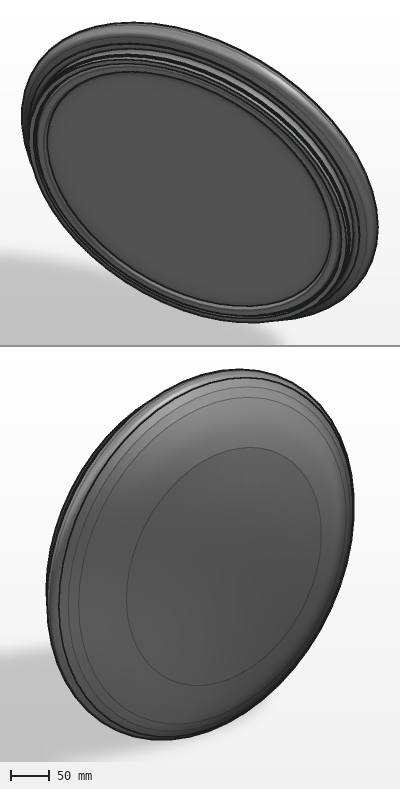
import cadquery as cq
import math


lamp_radius = 250.0
lamp_depth = 106.0

plate_radius = 217.2
plate_recess = 4.6
bead_inner_foot = 200.0
bead_inner_top = 203.0
bead_outer_top = 213.0
bead_fillet = 1.8
bead_outer_foot = 215.2

base_radius = 448.4 / 2
base_lip_radius = 450.0 / 2
lip_start = 6.2
base_depth = 8.6

spigot_radius = 450.83 / 2
flange_y = 19.5
flange_radius = 233.3
flange_edge = 1.4
equator_y = 38.5
lower_rim_radius = 15.0
lower_rim_angle = 64.3
upper_rim_radius = 11.4
housing_top_y = 49.0

crown_sphere_radius = 630.0
crown_edge_radius = 161.0
shoulder_radius = 282.0
shoulder_edge_radius = 221.0
skirt_mid_radius = 233.0
skirt_mid_y = 55.2


def point_on_circle(center, radius, angle):
    """Point at an angle in degrees, counted from the radial direction towards +Y."""
    turn = math.radians(angle)
    return (center[0] + radius * math.cos(turn), center[1] + radius * math.sin(turn))


def revolve(profile):
    """Full turn of a closed profile about the Y axis."""
    return profile.close().revolve(360, (0, 0, 0), (0, 1, 0))


def make_back_plate():
    profile = (
        cq.Workplane("XY")
        .moveTo(0, plate_recess)
        .lineTo(bead_inner_foot, plate_recess)
        .lineTo(bead_inner_top, 0)
        .lineTo(bead_outer_top, 0)
        .lineTo(bead_outer_foot, plate_recess)
        .lineTo(plate_radius, plate_recess)
        .lineTo(plate_radius, base_depth)
        .lineTo(0, base_depth)
    )
    return revolve(profile).faces("<Y").edges().fillet(bead_fillet)


def make_base_ring():
    profile = (
        cq.Workplane("XY")
        .moveTo(plate_radius, 0)
        .lineTo(base_radius, 0)
        .lineTo(base_radius, lip_start)
        .lineTo(base_lip_radius, lip_start)
        .lineTo(base_lip_radius, base_depth)
        .lineTo(plate_radius, base_depth)
    )
    return revolve(profile)


lower_rim_center = (lamp_radius - lower_rim_radius, equator_y)
upper_rim_center = (lamp_radius - upper_rim_radius, equator_y)
upper_rim_angle = math.degrees(math.asin((housing_top_y - equator_y) / upper_rim_radius))
housing_top_radius = point_on_circle(upper_rim_center, upper_rim_radius, upper_rim_angle)[0]


def make_housing():
    profile = (
        cq.Workplane("XY")
        .moveTo(0, base_depth)
        .lineTo(spigot_radius, base_depth)
        .lineTo(spigot_radius, flange_y)
        .lineTo(flange_radius, flange_y)
        .lineTo(flange_radius, flange_y + flange_edge)
        .lineTo(*point_on_circle(lower_rim_center, lower_rim_radius, -lower_rim_angle))
        .threePointArc(
            point_on_circle(lower_rim_center, lower_rim_radius, -lower_rim_angle / 2),
            (lamp_radius, equator_y),
        )
        .threePointArc(
            point_on_circle(upper_rim_center, upper_rim_radius, upper_rim_angle / 2),
            (housing_top_radius, housing_top_y),
        )
        .lineTo(0, housing_top_y)
    )
    return revolve(profile)


def make_dome():
    crown_center = (0, lamp_depth - crown_sphere_radius)
    crown_end_angle = math.degrees(math.acos(crown_edge_radius / crown_sphere_radius))
    crown_mid_angle = (90 + crown_end_angle) / 2
    crown_edge = point_on_circle(crown_center, crown_sphere_radius, crown_end_angle)
    shoulder_center = point_on_circle(
        crown_center, crown_sphere_radius - shoulder_radius, crown_end_angle
    )
    shoulder_end_angle = math.degrees(
        math.acos((shoulder_edge_radius - shoulder_center[0]) / shoulder_radius)
    )
    shoulder_mid_angle = (crown_end_angle + shoulder_end_angle) / 2
    profile = (
        cq.Workplane("XY")
        .moveTo(0, housing_top_y)
        .lineTo(housing_top_radius, housing_top_y)
        .lineTo(skirt_mid_radius, skirt_mid_y)
        .lineTo(*point_on_circle(shoulder_center, shoulder_radius, shoulder_end_angle))
        .threePointArc(
            point_on_circle(shoulder_center, shoulder_radius, shoulder_mid_angle), crown_edge
        )
        .threePointArc(
            point_on_circle(crown_center, crown_sphere_radius, crown_mid_angle), (0, lamp_depth)
        )
    )
    return revolve(profile)


back_plate = make_back_plate()
base_ring = make_base_ring()
housing = make_housing()
dome = make_dome()

result = cq.Compound.makeCompound(
    [back_plate.val(), base_ring.val(), housing.val(), dome.val()]
)